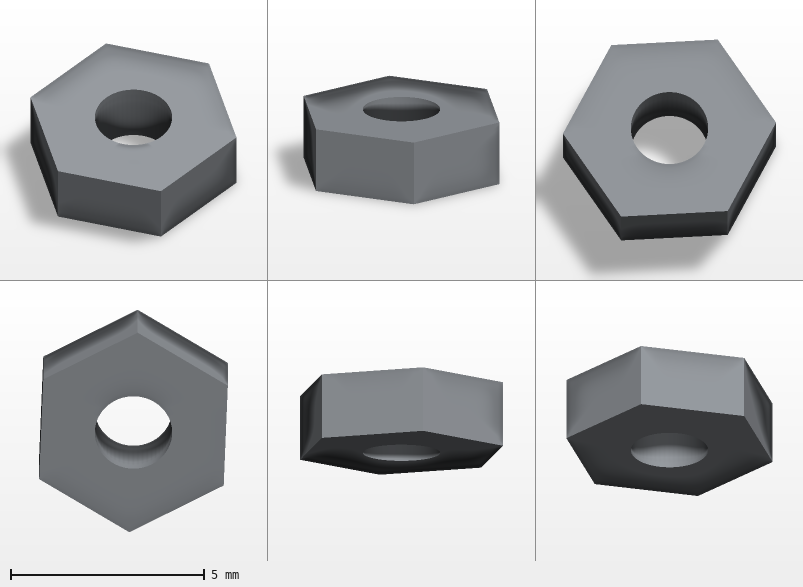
import cadquery as cq

across_corners = 5.51
across_flats = 4.78
thickness = 1.68
hole_diameter = 2.0

half_width = across_flats / 2
corner_y = across_corners / 2
side_corner_y = corner_y / 2

hexagon = [
    (0, corner_y),
    (half_width, side_corner_y),
    (half_width, -side_corner_y),
    (0, -corner_y),
    (-half_width, -side_corner_y),
    (-half_width, side_corner_y),
]

body = cq.Workplane("XY").polyline(hexagon).close().extrude(thickness)

result = body.faces(">Z").workplane(origin=(0, 0, thickness)).hole(hole_diameter)